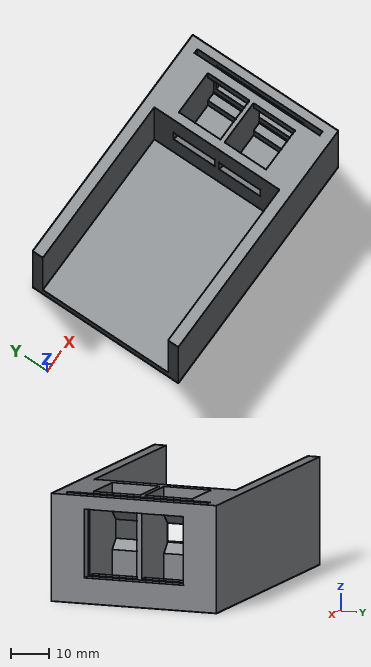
import cadquery as cq

length = 72.95
width = 46.4
height = 28.7

side_wall = 3.3
floor = 3.3
partition = 2.55
inner_width = width - 2 * side_wall
cavity_depth = height - floor

slot_thickness = 1.3
slot_x = length - partition - slot_thickness
well_size = 13.2
well_gap = 1.3
well_x = slot_x - partition - well_size
bay_length = well_x - partition

opening_z = floor + cavity_depth / 2
window_height = 5.0
flare_rise = partition
tall_height = 18.25


def pocket(x_start, x_size, y_size, y_center=0.0):
    """Rectangular cutter from the top face down to the floor."""
    return (
        cq.Workplane("XY")
        .box(x_size, y_size, cavity_depth, centered=(False, True, False))
        .translate((x_start, y_center, floor))
    )


def tall_opening(x_start, y_size, y_center=0.0):
    """Rectangular cutter through one partition, below the top face."""
    return (
        cq.Workplane("XY")
        .box(partition, y_size, tall_height, centered=(False, True, True))
        .translate((x_start, y_center, opening_z))
    )


def flared_window(y_center):
    """Cutter through the bay partition that grows taller toward the well."""
    bay_half = window_height / 2
    well_half = bay_half + flare_rise
    profile = [
        (bay_length, opening_z - bay_half),
        (bay_length, opening_z + bay_half),
        (well_x, opening_z + well_half),
        (well_x, opening_z - well_half),
    ]
    return (
        cq.Workplane("XZ")
        .polyline(profile)
        .close()
        .extrude(well_size / 2, both=True)
        .translate((0, y_center, 0))
    )


result = cq.Workplane("XY").box(length, width, height, centered=(False, True, False))

result = result.cut(pocket(0, bay_length, inner_width))

result = result.cut(pocket(slot_x, slot_thickness, inner_width))

for side in (-1, 1):
    well_y = side * (well_size + well_gap) / 2
    result = result.cut(pocket(well_x, well_size, well_size, well_y))
    result = result.cut(flared_window(well_y))
    result = result.cut(tall_opening(well_x + well_size, well_size, well_y))

result = result.cut(tall_opening(length - partition, 2 * well_size + well_gap))